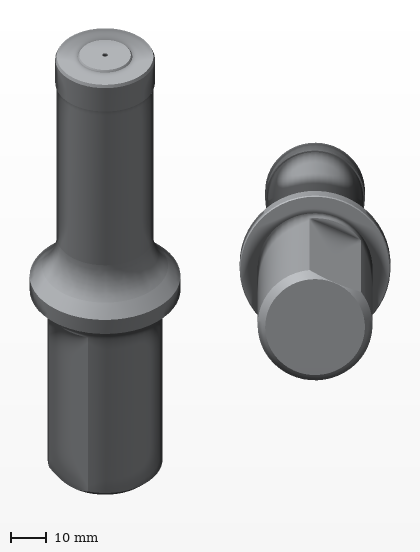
import cadquery as cq
import math

total_height = 141.0

shank_radius = 32.0 / 2
shank_chamfer = 2.1
flat_distance = 14.0
flat_top = 55.0

flange_radius = 42.0 / 2
flange_bottom = 60.0
flange_top = 65.1
flange_edge_chamfer = 0.3
neck_radius = 27.0 / 2
blend_radius = 14.0
cone_angle = math.radians(45)

head_radius = 27.8 / 2
head_bottom = 131.5
head_edge_chamfer_height = 0.8
head_edge_chamfer_width = 0.4
boss_base_radius = 7.6
boss_top_radius = 7.2
boss_height = 0.5
center_hole_diameter = 1.5
center_hole_depth = 1.4


def make_holder():
    """Shank, flange and neck turned as one piece, then the flat milled off."""
    blend_start_radius = neck_radius + blend_radius * (1 - math.cos(cone_angle))
    blend_start_z = flange_top + (flange_radius - blend_start_radius) * math.tan(cone_angle)
    blend_end_z = blend_start_z + blend_radius * math.sin(cone_angle)
    half_angle = cone_angle / 2
    blend_middle = (
        neck_radius + blend_radius * (1 - math.cos(half_angle)),
        blend_end_z - blend_radius * math.sin(half_angle),
    )
    body = (
        cq.Workplane("XZ")
        .lineTo(shank_radius - shank_chamfer, 0)
        .lineTo(shank_radius, shank_chamfer)
        .lineTo(shank_radius, flange_bottom)
        .lineTo(flange_radius - flange_edge_chamfer, flange_bottom)
        .lineTo(flange_radius, flange_bottom + flange_edge_chamfer)
        .lineTo(flange_radius, flange_top)
        .lineTo(blend_start_radius, blend_start_z)
        .threePointArc(blend_middle, (neck_radius, blend_end_z))
        .lineTo(neck_radius, head_bottom)
        .lineTo(0, head_bottom)
        .close()
        .revolve(360, (0, 0, 0), (0, 1, 0))
    )
    flat_cutter = cq.Workplane("XY").box(
        2 * shank_radius, shank_radius, flat_top, centered=(True, False, False)
    ).translate((0, -flat_distance - shank_radius, 0))
    return body.cut(flat_cutter)


def make_head():
    """Round head with a low tapered central boss and a small center hole."""
    face_z = total_height - boss_height
    body = (
        cq.Workplane("XZ")
        .moveTo(0, head_bottom)
        .lineTo(head_radius, head_bottom)
        .lineTo(head_radius, face_z - head_edge_chamfer_height)
        .lineTo(head_radius - head_edge_chamfer_width, face_z)
        .lineTo(boss_base_radius, face_z)
        .lineTo(boss_top_radius, total_height)
        .lineTo(0, total_height)
        .close()
        .revolve(360, (0, 0, 0), (0, 1, 0))
    )
    return body.faces(">Z").workplane().hole(center_hole_diameter, center_hole_depth)


holder = make_holder()
head = make_head()

result = cq.Compound.makeCompound([holder.val(), head.val()])